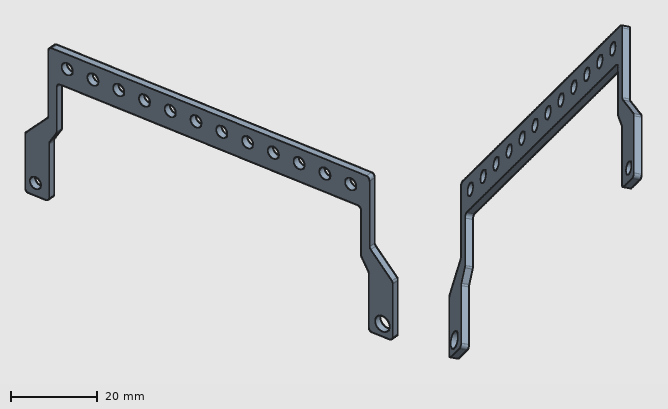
import cadquery as cq

THICKNESS = 2.0
HEIGHT = 42.0
OVERALL_WIDTH = 107.0

BACK_TO_FRONT = cq.Plane(origin=(0, THICKNESS / 2, 0), xDir=(1, 0, 0), normal=(0, -1, 0))

BAR_WIDTH = 93.5
BAR_DEPTH = 9.0
ARM_WIDTH = 2.5
ARM_OUTER = BAR_WIDTH / 2
ARM_INNER = ARM_OUTER - ARM_WIDTH
BAR_BOTTOM = HEIGHT - BAR_DEPTH

FOOT_WIDTH = 7.0
FOOT_OUTER = OVERALL_WIDTH / 2
FOOT_INNER = FOOT_OUTER - FOOT_WIDTH
FOOT_OUTER_TOP = 16.0
FOOT_INNER_TOP = 16.0
ARM_OUTER_BOTTOM = FOOT_OUTER_TOP + FOOT_OUTER - ARM_OUTER
ARM_INNER_BOTTOM = 19.6

CORNER_RADIUS = 1.0

BAR_HOLE_COUNT = 12
BAR_HOLE_PITCH = 7.5
BAR_HOLE_DIAMETER = 3.2
BAR_HOLE_FROM_TOP = 4.0
BAR_HOLE_Z = HEIGHT - BAR_HOLE_FROM_TOP

FOOT_HOLE_Z = 3.5
FOOT_HOLE_INSET = 3.0
LEFT_HOLE_X = -(FOOT_OUTER - FOOT_HOLE_INSET)
LEFT_HOLE_DIAMETER = 3.2
RIGHT_HOLE_X = FOOT_OUTER - FOOT_HOLE_INSET
RIGHT_HOLE_DIAMETER = 4.2


def half_outline(side):
    """Corner points of one half (side +1 right, -1 left), from the bar's top to its underside."""
    return [
        (side * ARM_OUTER, HEIGHT),
        (side * ARM_OUTER, ARM_OUTER_BOTTOM),
        (side * FOOT_OUTER, FOOT_OUTER_TOP),
        (side * FOOT_OUTER, 0),
        (side * FOOT_INNER, 0),
        (side * FOOT_INNER, FOOT_INNER_TOP),
        (side * ARM_INNER, ARM_INNER_BOTTOM),
        (side * ARM_INNER, BAR_BOTTOM),
    ]


def fillet_corner(plate, x, z):
    """Round the through-thickness edge that stands at (x, z)."""
    return plate.edges("|Y").edges(cq.NearestToPointSelector((x, 0, z))).fillet(CORNER_RADIUS)


def make_plate():
    """Flat bracket plate, centred on Y = 0, with every corner and bend rounded."""
    outline = half_outline(1) + half_outline(-1)[::-1]
    plate = cq.Workplane(BACK_TO_FRONT).polyline(outline).close().extrude(THICKNESS)
    for x, z in outline:
        plate = fillet_corner(plate, x, z)
    return plate


def through_holes(points, diameter):
    """Cylinders along Y that reach right through the plate at the given (x, z) points."""
    return cq.Workplane(BACK_TO_FRONT).pushPoints(points).circle(diameter / 2).extrude(THICKNESS)


def bar_hole_points():
    """Evenly pitched hole centres, symmetric about X = 0."""
    first_x = -BAR_HOLE_PITCH * (BAR_HOLE_COUNT - 1) / 2
    return [(first_x + i * BAR_HOLE_PITCH, BAR_HOLE_Z) for i in range(BAR_HOLE_COUNT)]


result = (
    make_plate()
    .cut(through_holes(bar_hole_points(), BAR_HOLE_DIAMETER))
    .cut(through_holes([(LEFT_HOLE_X, FOOT_HOLE_Z)], LEFT_HOLE_DIAMETER))
    .cut(through_holes([(RIGHT_HOLE_X, FOOT_HOLE_Z)], RIGHT_HOLE_DIAMETER))
)